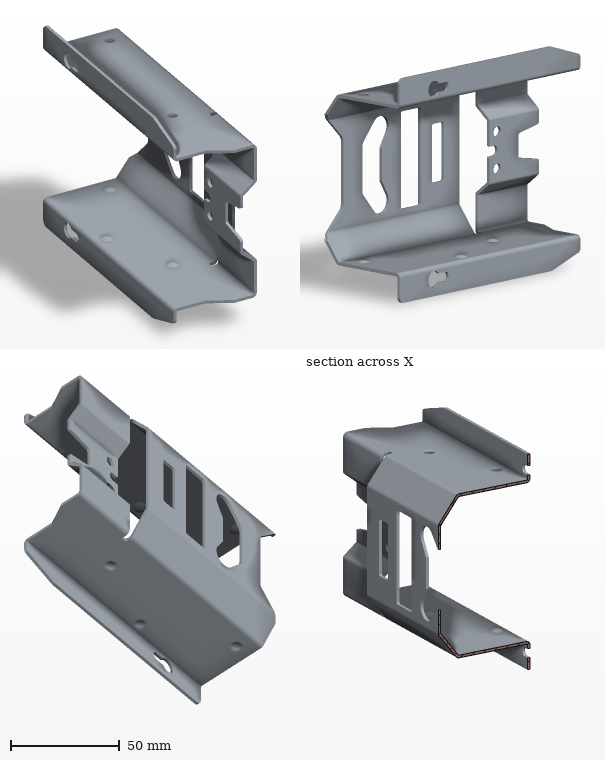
import cadquery as cq
import math

length = 127.8
depth = 49.5
half_height = 52.6
sheet = 1.5
wall_z = 40.1
inner_wall_z = wall_z - sheet

lip_bend = 2.0
main_bend = 2.5
shelf_bend = 1.8
hat_bend = 0.1

slot_start = 91.5
slot_end = 94.2
slot_floor_y = 35.6
slot_round = 0.6
tray_corner = (39.2, wall_z)
tray_back_corner = (depth, 26.8)
shelf_y = 40.5
hat_y = 33.2
shelf_corner_z = 20.5
hat_corner_z = 14.5

lip_end = 121.6
wall_step_y = 17.0
wall_full_y = 28.2
lip_taper_start = 102.3
lip_taper_drop = 6.4
lip_round = 3.0
lip_taper_round = 1.9

keyhole_x = 23.1
keyhole_z = 44.6
keyhole_radius = 3.8
keyhole_slot_end = 32.8
keyhole_slot_width = 4.3
keyhole_slot_round = 1.9

mouth_half = 29.6
mouth_depth = 13.3
mouth_round = 4.1
window_round = 1.0
windows = [
    (52.0, 65.3, 23.0),
    (73.0, 80.9, 13.9),
]
crescent_radius = 5.6
crescent_x = 38.3
crescent_z = 17.4
crescent_left = (26.2, 11.8)
crescent_right = (39.2, 7.7)
crescent_round = 3.8

screw_x = 99.5
screw_z = 8.7
screw_radius = 2.4
notch_end = 99.8
notch_radius = 2.4
notch_round = 0.5
vee_start = 113.8
vee_inner_half = 5.7
vee_outer_half = 8.3
vee_round = 1.3

dimple_places = [(8.2, 30.4), (47.9, 6.3), (84.5, 20.5)]
dimple_radius = 3.2
dimple_height = 0.9
bowl_radius = 2.3
bowl_rim_depth = 0.3
bowl_depth = 1.4


def mirror_points(points):
    """Points in order, followed by their mirror images in the second coordinate."""
    return points + [(a, -b) for a, b in reversed(points)]


def bent_channel(start_x, end_x, bends):
    """Channel open toward -Y; bends are (y, z, radius) corners of its outer face at z > 0."""
    corners = [(0, wall_z)] + [(y, z) for y, z, _ in bends]
    run = end_x - start_x
    body = cq.Workplane("YZ", origin=(start_x, 0, 0)).polyline(mirror_points(corners)).close().extrude(run)
    for y, z, radius in bends:
        for side in (1, -1):
            fold = cq.selectors.NearestToPointSelector((start_x + run / 2, y, side * z))
            body = body.edges("|X").edges(fold).fillet(radius)
    cavity = body.faces("<X").wires().toPending().workplane(origin=(start_x, 0, 0)).offset2D(-sheet)
    body = body.cut(cavity.extrude(-run, combine=False))
    front_trim = cq.Workplane().box(length, lip_bend, 2 * wall_z, centered=(False, False, True))
    return body.cut(front_trim)


def front_cutter(points):
    """Closed outline in X and Z, extended through the whole depth."""
    return cq.Workplane("XZ").polyline(points).close().extrude(-depth)


def front_box(start_x, end_x, height, z=0):
    """Rectangular cutter centred on height z, through the whole depth."""
    return (
        cq.Workplane("XY", origin=(start_x, 0, z))
        .box(end_x - start_x, depth, height, centered=(False, False, True))
    )


def front_cylinder(x, z, radius):
    return cq.Workplane("XZ", origin=(x, 0, z)).circle(radius).extrude(-depth)


def tangent_point(corner, center, radius, turn):
    """Point where the line from corner touches the circle, on the side given by turn (+1 or -1)."""
    dx = corner[0] - center[0]
    dz = corner[1] - center[1]
    angle = math.atan2(dz, dx) + turn * math.acos(radius / math.hypot(dx, dz))
    return (center[0] + radius * math.cos(angle), center[1] + radius * math.sin(angle))


def lip():
    """Upper mounting lip with its bend and keyhole."""
    bend_z = inner_wall_z + lip_bend
    inner_bend = lip_bend - sheet
    section = (
        cq.Workplane("YZ")
        .moveTo(lip_bend, inner_wall_z)
        .radiusArc((0, bend_z), lip_bend)
        .lineTo(0, half_height)
        .lineTo(sheet, half_height)
        .lineTo(sheet, bend_z)
        .radiusArc((lip_bend, wall_z), -inner_bend)
        .close()
        .extrude(lip_end)
    )
    taper = front_cutter([
        (lip_taper_start, half_height),
        (lip_end, half_height),
        (lip_end, half_height - lip_taper_drop),
    ])
    section = section.cut(taper)
    section = section.edges("|Y and <X and >Z").fillet(lip_round)
    taper_end = cq.selectors.NearestToPointSelector((lip_end, sheet / 2, half_height - lip_taper_drop))
    section = section.edges("|Y").edges(taper_end).fillet(lip_taper_round)
    slot = front_box(keyhole_x, keyhole_slot_end, keyhole_slot_width, keyhole_z)
    slot = slot.edges("|Y and >X").fillet(keyhole_slot_round)
    return section.cut(front_cylinder(keyhole_x, keyhole_z, keyhole_radius)).cut(slot)


def tray_mouth():
    mouth = front_cutter(mirror_points([(0, mouth_half), (mouth_depth, mouth_half - mouth_depth)]))
    return mouth.edges("|Y and >X").fillet(mouth_round)


def crescent():
    """Bent opening with round ends joined by tangent sides."""
    center = (crescent_x, crescent_z)
    outline = [
        crescent_left,
        tangent_point(crescent_left, center, crescent_radius, -1),
        center,
        tangent_point(crescent_right, center, crescent_radius, 1),
        crescent_right,
    ]
    opening = front_cutter(mirror_points(outline)).edges("|Y and <X").fillet(crescent_round)
    for side in (1, -1):
        opening = opening.union(front_cylinder(crescent_x, side * crescent_z, crescent_radius))
    return opening


def tray():
    body = bent_channel(0, slot_end, [(*tray_corner, main_bend), (*tray_back_corner, main_bend)])
    slot = (
        cq.Workplane("XY", origin=(slot_start, slot_floor_y, 0))
        .box(slot_end - slot_start, depth - slot_floor_y, 2 * wall_z, centered=(False, False, True))
        .edges("|Z and <X and <Y")
        .fillet(slot_round)
    )
    body = body.cut(slot).cut(tray_mouth()).cut(crescent())
    for start_x, end_x, half in windows:
        body = body.cut(front_box(start_x, end_x, 2 * half).edges("|Y").fillet(window_round))
    return body


def shelf():
    """Front shelf with its forward-standing hat, cut by two screw holes, a notch and a vee."""
    body = bent_channel(slot_end, length, [
        (shelf_y, wall_z, main_bend),
        (shelf_y, shelf_corner_z, shelf_bend),
        (hat_y, hat_corner_z, hat_bend),
    ])
    for side in (1, -1):
        body = body.cut(front_cylinder(screw_x, side * screw_z, screw_radius))

    notch_center_x = notch_end - notch_radius
    body = body.cut(front_box(slot_end, notch_center_x, 2 * notch_radius))
    body = body.cut(front_cylinder(notch_center_x, 0, notch_radius))
    vee = front_cutter(mirror_points([(vee_start, vee_inner_half), (length, vee_outer_half)]))
    body = body.cut(vee)

    def round_corners(part, x, z, radius):
        for side in (1, -1):
            corner = cq.selectors.NearestToPointSelector((x, hat_y - sheet / 2, side * z))
            part = part.edges("|Y").edges(corner).fillet(radius)
        return part

    body = round_corners(body, slot_end, notch_radius, notch_round)
    body = round_corners(body, vee_start, vee_inner_half, vee_round)
    return round_corners(body, length, vee_outer_half, vee_round)


def wall_end_cutter():
    """Removes the stepped and sloped corner at the +X end of both walls."""
    return (
        cq.Workplane("XY", origin=(0, 0, -wall_z))
        .polyline([(lip_end, 0), (lip_end, wall_step_y), (length, wall_full_y), (length, 0)])
        .close()
        .extrude(2 * wall_z)
    )


def dimple_dome(x, y):
    """Shallow dome standing on the inner face of the upper wall."""
    dome_radius = (dimple_radius**2 + dimple_height**2) / (2 * dimple_height)
    return (
        cq.Workplane("XZ", origin=(x, y, inner_wall_z))
        .lineTo(dimple_radius, 0)
        .radiusArc((0, -dimple_height), dome_radius)
        .close()
        .revolve(360, (0, 0), (0, 1))
    )


def dimple_bowl(x, y):
    """Hollow sunk into the outer face of the upper wall, with a shallow conical rim."""
    drop = bowl_depth - bowl_rim_depth
    hollow_radius = (bowl_radius**2 + drop**2) / (2 * drop)
    return (
        cq.Workplane("XZ", origin=(x, y, wall_z))
        .lineTo(dimple_radius, 0)
        .lineTo(bowl_radius, -bowl_rim_depth)
        .radiusArc((0, -bowl_depth), hollow_radius)
        .close()
        .revolve(360, (0, 0), (0, 1))
    )


upper_lip = lip()
result = tray().union(shelf()).cut(wall_end_cutter())
result = result.union(upper_lip).union(upper_lip.mirror("XY"))

for dimple_x, dimple_y in dimple_places:
    dome = dimple_dome(dimple_x, dimple_y)
    bowl = dimple_bowl(dimple_x, dimple_y)
    result = result.union(dome).union(dome.mirror("XY"))
    result = result.cut(bowl).cut(bowl.mirror("XY"))